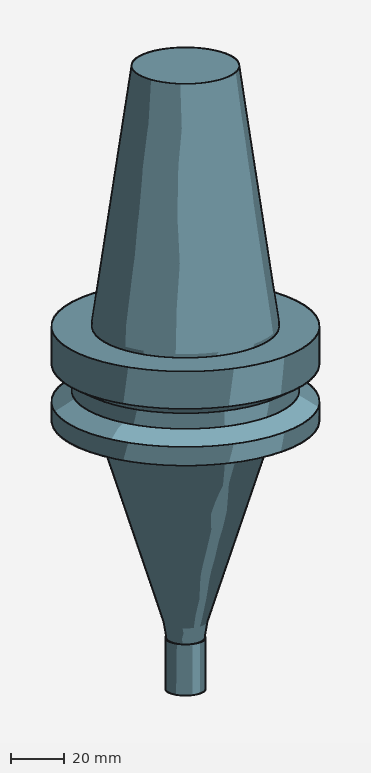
import cadquery as cq

flange_diameter = 100.0
groove_diameter = 85.0
taper_large_diameter = 69.8
taper_small_diameter = 40.2
collar_diameter = 77.5
nose_large_diameter = 64.7
nose_small_diameter = 16.5
neck_diameter = 14.3
tip_diameter = 15.0

total_length = 246.8
tip_length = 20.2
neck_length = 6.7
nose_length = 75.0
collar_length = 4.5
lower_flange_length = 7.5
groove_side_length = 4.5
groove_floor_length = 6.2
upper_flange_length = 14.8
taper_land_length = 1.5

neck_bottom = tip_length
nose_bottom = neck_bottom + neck_length
collar_bottom = nose_bottom + nose_length
flange_bottom = collar_bottom + collar_length
groove_bottom = flange_bottom + lower_flange_length
groove_floor_bottom = groove_bottom + groove_side_length
groove_floor_top = groove_floor_bottom + groove_floor_length
groove_top = groove_floor_top + groove_side_length
flange_top = groove_top + upper_flange_length
taper_bottom = flange_top + taper_land_length

outline = [
    (tip_diameter, 0),
    (tip_diameter, neck_bottom),
    (neck_diameter, neck_bottom),
    (nose_small_diameter, nose_bottom),
    (nose_large_diameter, collar_bottom),
    (collar_diameter, flange_bottom),
    (flange_diameter, flange_bottom),
    (flange_diameter, groove_bottom),
    (groove_diameter, groove_floor_bottom),
    (groove_diameter, groove_floor_top),
    (flange_diameter, groove_top),
    (flange_diameter, flange_top),
    (taper_large_diameter, flange_top),
    (taper_large_diameter, taper_bottom),
    (taper_small_diameter, total_length),
]

half_section = [(0, 0)]
half_section += [(diameter / 2, height) for diameter, height in outline]
half_section += [(0, total_length)]

result = cq.Workplane("XZ").polyline(half_section).close().revolve(360, (0, 0, 0), (0, 1, 0))